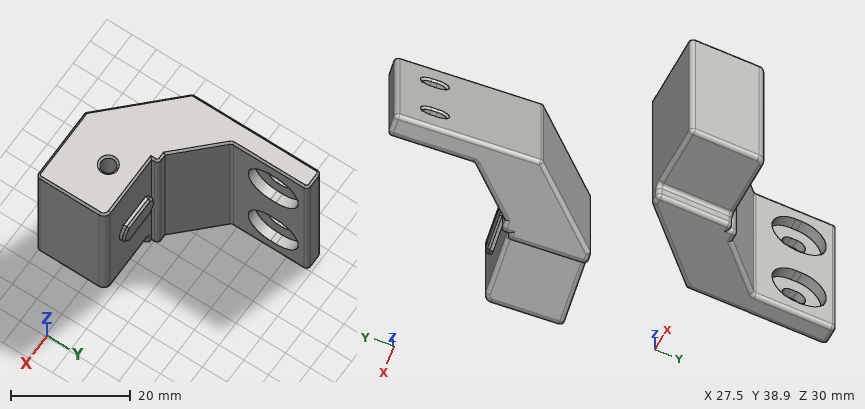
import cadquery as cq
import math

width_x = 27.5
length_y = 38.9
height_z = 30.0
plate_thickness = 4.0
plate_inner_end_y = 23.5
outer_bevel = 12.9
shoulder_y = 15.5
shoulder_end_x = 14.0
arm_face_y = 14.1
web_inner_end_x = plate_thickness + plate_inner_end_y - shoulder_y

undercut_x = 15.0
undercut_height = 3.0
undercut_fillet = 0.7

edge_fillet = 0.8
arm_corner_fillet = 1.4
edge_chamfer = 0.4

slot_width = 3.2
slot_length = 4.3
slot_y = 31.9
head_recess_width = 9.0
head_recess_depth = 2.0
head_recess_length = head_recess_width + slot_length - slot_width
slot_heights = (7.5, 22.5)

stop_width = 9.0
stop_end_diameter = 5.8
stop_height = 5.0
stop_projection = 1.0
stop_depth = 10.0
stop_x = 19.0
stop_z = (undercut_height + height_z) / 2

screw_diameter = 2.85
screw_y = 8.8


def nearest_to(x, y, z):
    """Selector for the edge whose centre lies closest to a point."""
    return cq.selectors.NearestToPointSelector((x, y, z))


def make_bracket_body():
    """Extruded outline with the undercut, rounded and chamfered along its edges."""
    outline = [
        (0, length_y),
        (0, outer_bevel),
        (outer_bevel, 0),
        (width_x, 0),
        (width_x, arm_face_y),
        (shoulder_end_x, arm_face_y),
        (shoulder_end_x, shoulder_y),
        (web_inner_end_x, shoulder_y),
        (plate_thickness, plate_inner_end_y),
        (plate_thickness, length_y),
    ]
    block = cq.Workplane("XY").polyline(outline).close().extrude(height_z)
    undercut = (
        cq.Workplane("XY", origin=(undercut_x, 0, 0))
        .box(width_x - undercut_x, arm_face_y, undercut_height, centered=False)
    )
    block = block.cut(undercut)

    arm_corner = (width_x, arm_face_y)
    sharp_corners = ((shoulder_end_x, arm_face_y), (web_inner_end_x, shoulder_y))
    for corner in outline:
        if corner not in sharp_corners:
            radius = arm_corner_fillet if corner == arm_corner else edge_fillet
            block = block.edges(nearest_to(*corner, height_z / 2)).fillet(radius)
    block = block.edges(nearest_to(undercut_x, arm_face_y / 2, undercut_height)).fillet(undercut_fillet)

    block = block.faces(">Z").chamfer(edge_chamfer)

    arm_lower_edge = block.edges(nearest_to((undercut_x + width_x) / 2, 0, undercut_height))
    bottom_edges = block.faces("<Z").edges().add(arm_lower_edge)
    return bottom_edges.fillet(edge_fillet)


def slot_sketch(x, z, length, width):
    """Slot outline lying along Y, in the plane at x."""
    return cq.Workplane("YZ", origin=(x, slot_y, z)).slot2D(length, width)


def make_slot_cutter(z):
    """Slot with a flared outer mouth and a screw head recess on the inner face."""
    slot = slot_sketch(0, z, slot_length, slot_width).extrude(plate_thickness)
    mouth_growth = 2 * edge_chamfer
    mouth = slot_sketch(0, z, slot_length + mouth_growth, slot_width + mouth_growth).extrude(
        edge_chamfer, taper=45
    )
    head_recess = slot_sketch(plate_thickness, z, head_recess_length, head_recess_width).extrude(
        -head_recess_depth
    )
    return slot.union(mouth).union(head_recess)


def make_screw_hole_cutter():
    """Hole from the top face down into the stop socket, flared at the top."""
    hole = (
        cq.Workplane("XY", origin=(stop_x, screw_y, stop_z))
        .circle(screw_diameter / 2)
        .extrude(height_z - stop_z)
    )
    mouth = (
        cq.Workplane("XY", origin=(stop_x, screw_y, height_z))
        .circle(screw_diameter / 2 + edge_chamfer)
        .extrude(-edge_chamfer, taper=45)
    )
    return hole.union(mouth)


def make_stop_bar(front_y, length):
    """Bar of the stop's section, from front_y towards -Y.

    The section is a slot shape with round ends. Tangent 45 degree lines
    join each end to the flats above and below.
    """
    end_radius = stop_end_diameter / 2
    end_centre = stop_width / 2 - end_radius
    half_height = stop_height / 2
    tangent_offset = end_radius * math.sqrt(0.5)
    tangent_x = end_centre + tangent_offset
    flat_end_x = tangent_x + tangent_offset - half_height
    return (
        cq.Workplane("XZ", origin=(stop_x, front_y, stop_z))
        .moveTo(-flat_end_x, half_height)
        .lineTo(flat_end_x, half_height)
        .lineTo(tangent_x, tangent_offset)
        .threePointArc((end_centre + end_radius, 0), (tangent_x, -tangent_offset))
        .lineTo(flat_end_x, -half_height)
        .lineTo(-flat_end_x, -half_height)
        .lineTo(-tangent_x, -tangent_offset)
        .threePointArc((-end_centre - end_radius, 0), (-tangent_x, tangent_offset))
        .close()
        .extrude(length)
    )


def make_bracket():
    body = make_bracket_body()
    for z in slot_heights:
        body = body.cut(make_slot_cutter(z))
    body = body.cut(make_screw_hole_cutter())
    return body.cut(make_stop_bar(arm_face_y, stop_depth))


def make_stop():
    """Stop bar resting on the socket floor, its front rim chamfered."""
    front_y = arm_face_y + stop_projection
    bar = make_stop_bar(front_y, stop_depth + stop_projection)
    return bar.faces(">Y").chamfer(edge_chamfer)


bracket = make_bracket()
stop = make_stop()
result = cq.Compound.makeCompound([bracket.val(), stop.val()])